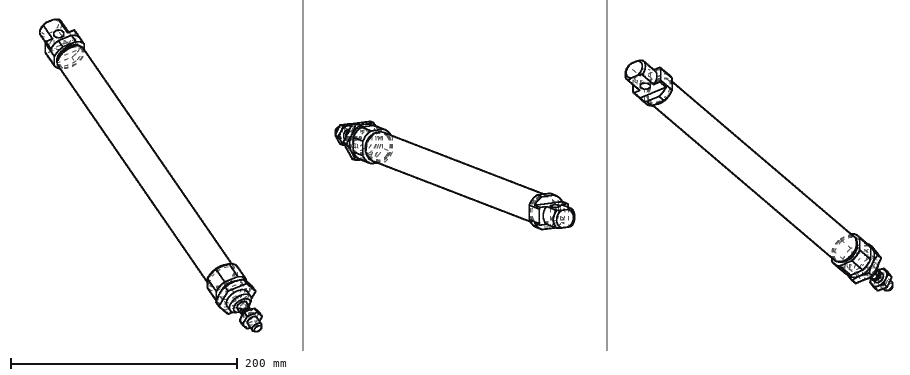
import cadquery as cq
import math

block_rear = 19.3
step_rear = 28.5
block_rear_end = 37.0
tube_start = 39.3
tube_end = 324.0
block_front = 325.8
block_front_end = 342.5
nose_end = 362.7
groove_start = 371.0
groove_end = 373.0
rod_end = 393.0

tube_dia = 27.0
neck_dia = 25.0

cap_flats = 30.0
cap_dia = 32.5
clevis_dia = 22.0
clevis_thickness = 16.0
clevis_chamfer_length = 1.5
clevis_chamfer_depth = 2.5
pin_hole_dia = 9.0
pin_hole_x = 17.0
nose_dia = 22.0
nose_chamfer = 2.8

rod_dia = 10.0
rod_tip_length = 2.0
rod_tip_depth = 1.0
groove_dia = 8.0
wrench_flats = 7.0
flat_start = 367.5
flat_ramp = 2.5

nose_nut_corners = 37.0
nose_nut_x = 347.0
nose_nut_height = 7.0
rod_nut_corners = 20.0
rod_nut_x = 376.5
rod_nut_height = 6.0
nut_chamfer_angle = 30


def cone(x_start, x_end, start_diameter, end_diameter):
    """Solid cone frustum along X."""
    return (
        cq.Workplane("XZ")
        .moveTo(x_start, 0)
        .lineTo(x_start, start_diameter / 2)
        .lineTo(x_end, end_diameter / 2)
        .lineTo(x_end, 0)
        .close()
        .revolve(360, (0, 0, 0), (1, 0, 0))
    )


def disc(x_start, x_end, diameter):
    """Solid cylinder along X."""
    return cone(x_start, x_end, diameter, diameter)


def bar(x_start, x_end, width, height):
    """Rectangular bar along X, centred on the axis."""
    length = x_end - x_start
    return cq.Workplane("XY").box(length, width, height).translate((x_start + length / 2, 0, 0))


def cap_block(x_start, x_end):
    """Round block with four flats that form a rounded square."""
    return disc(x_start, x_end, cap_dia).intersect(bar(x_start, x_end, cap_flats, cap_flats))


def make_rear_cap():
    block = cap_block(block_rear, block_rear_end)
    slab = bar(block_rear, step_rear, cap_dia, clevis_thickness)
    block = block.intersect(slab.union(bar(step_rear, block_rear_end, cap_dia, cap_dia)))
    tip = cone(0, clevis_chamfer_length, clevis_dia - 2 * clevis_chamfer_depth, clevis_dia)
    lug = disc(clevis_chamfer_length, block_rear, clevis_dia).union(tip)
    lug = lug.intersect(bar(0, block_rear, clevis_dia, clevis_thickness))
    pin_hole = (
        cq.Workplane("XY")
        .center(pin_hole_x, 0)
        .circle(pin_hole_dia / 2)
        .extrude(clevis_thickness, both=True)
    )
    return block.union(lug).cut(pin_hole)


def make_tube():
    neck_rear = disc(block_rear_end, tube_start, neck_dia)
    neck_front = disc(tube_end, block_front, neck_dia)
    return disc(tube_start, tube_end, tube_dia).union(neck_rear).union(neck_front)


def make_front_cap():
    nose = disc(block_front_end, nose_end, nose_dia).faces(">X").chamfer(nose_chamfer)
    return cap_block(block_front, block_front_end).union(nose)


def make_rod():
    """Rod from the nose face to its tip, with a thread relief and two wrench flats."""
    shank = disc(nose_end, groove_start, rod_dia)
    relief = disc(groove_start, groove_end, groove_dia)
    thread_end = rod_end - rod_tip_length
    thread = disc(groove_end, thread_end, rod_dia)
    tip = cone(thread_end, rod_end, rod_dia, rod_dia - 2 * rod_tip_depth)
    flat_notch = (
        cq.Workplane("XY")
        .moveTo(flat_start - flat_ramp, rod_dia / 2)
        .lineTo(flat_start, wrench_flats / 2)
        .lineTo(groove_start, wrench_flats / 2)
        .lineTo(groove_start, rod_dia / 2)
        .close()
        .extrude(rod_dia, both=True)
    )
    shank = shank.cut(flat_notch).cut(flat_notch.mirror("XZ"))
    return shank.union(relief).union(thread).union(tip)


def make_nut(x_start, height, corners, bore_dia):
    """Hexagon nut with corners on +Y and -Y, its rear corners chamfered."""
    flats = corners * math.cos(math.radians(30))
    hexagon = cq.Workplane("YZ").polygon(6, corners).extrude(height)
    chamfer_run = (corners - flats) / 2 * math.tan(math.radians(nut_chamfer_angle))
    turned = (
        cq.Workplane("XZ")
        .lineTo(0, flats / 2)
        .lineTo(chamfer_run, corners / 2)
        .lineTo(height, corners / 2)
        .lineTo(height, 0)
        .close()
        .revolve(360, (0, 0, 0), (1, 0, 0))
    )
    nut = hexagon.intersect(turned).cut(disc(0, height, bore_dia))
    return nut.translate((x_start, 0, 0))


rear_cap = make_rear_cap()
tube = make_tube()
front_cap = make_front_cap()
rod = make_rod()
nose_nut = make_nut(nose_nut_x, nose_nut_height, nose_nut_corners, nose_dia)
rod_nut = make_nut(rod_nut_x, rod_nut_height, rod_nut_corners, rod_dia)

bodies = [rear_cap, tube, front_cap, rod, nose_nut, rod_nut]
result = cq.Compound.makeCompound([body.val() for body in bodies])